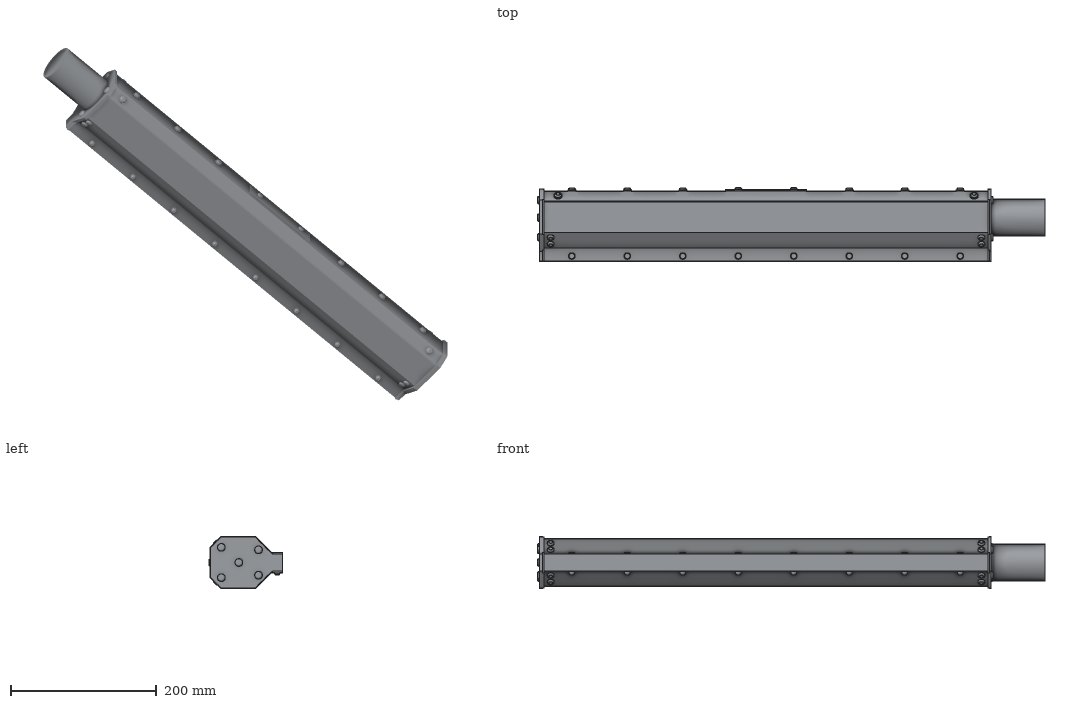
import cadquery as cq
import math

diagonal = math.sqrt(0.5)


housing_length = 609.6
housing_half_height = 32.7
nose_half_height = 11.5
nose_front_y = -60.25
nose_depth = 18.4
nose_root_y = nose_front_y + nose_depth
overall_depth = 101.53
bend_facet = 1.0

back_head = (9.5, 2.75)
slope_head = (9.5, 2.75)
bevel_head = (9.5, 2.75)
flange_head = (10.5, 2.75)
nose_head = (7.6, 1.2)
nose_nut = (7.6, 4.5)
dome_top_ratio = 0.55

wide_washer = (11.0, 1.6)
nose_washer = (9.0, 1.0)

strap_length = 111.0
strap_height = 22.0
strap_thickness = 2.0

back_y = nose_front_y + overall_depth - strap_thickness - back_head[1]
bevel_size = 14.1

overall_height = 71.16
cover_half_height = overall_height / 2
flange_overhang = cover_half_height - housing_half_height
sheet_thickness = 2.2
edge_setback = 0.3
slope_overhang = 3.5
left_cover_thickness = 4.2
right_cover_thickness = 2.2
left_face_x = -sheet_thickness - left_cover_thickness
right_face_x = housing_length + sheet_thickness + right_cover_thickness

overall_length = 697.12
spigot_diameter = 50.8
spigot_end_x = left_face_x - flange_head[1] + overall_length

row_count = 8
row_pitch = 76.2
row_first_x = (housing_length - (row_count - 1) * row_pitch) / 2
nose_screw_y = nose_front_y + 7.5

slope_screw_inset = 9.0
slope_screw_rises = (5.8, 14.8)
bevel_screw_inset = 19.0

cover_corner_screws = [(24.0, 20.8), (24.0, -20.8), (-27.0, 17.4), (-27.0, -17.4)]
cover_centre_screw = (0.0, 0.0)


def section(x, length, front, nose, top, back, slope_grow):
    """Slice of the housing outline with its 45 degree sides moved outward by slope_grow."""
    side_shift = slope_grow * math.sqrt(2)
    slope_line = nose_root_y - nose_half_height - side_shift
    bevel_line = back_y - bevel_size + housing_half_height + side_shift
    upper = [
        (front, nose),
        (slope_line + nose, nose),
        (slope_line + top, top),
        (bevel_line - top, top),
        (back, bevel_line - back),
    ]
    lower = [(y, -z) for y, z in reversed(upper)]
    profile = cq.Workplane("YZ").workplane(offset=x).polyline(upper + lower).close()
    return profile.extrude(length)


def disc(point, direction, size):
    diameter, height = size
    plane = cq.Plane(origin=point, normal=direction)
    return cq.Workplane(plane).circle(diameter / 2).extrude(height)


def dome(point, direction, size):
    """Button head: a round base curving in to a smaller flat top."""
    diameter, height = size
    base = diameter / 2
    top = base * dome_top_ratio
    middle = (top + (base - top) * diagonal, height * diagonal)
    axis = cq.Vector(*direction)
    across = axis.cross(cq.Vector(1, 0, 0))
    if across.Length == 0:
        across = cq.Vector(0, 1, 0)
    plane = cq.Plane(origin=point, xDir=across, normal=across.cross(axis))
    half = cq.Workplane(plane).lineTo(base, 0).threePointArc(middle, (top, height)).lineTo(0, height)
    return half.close().revolve(360, (0, 0), (0, 1))


def offset_point(point, direction, distance):
    return tuple(p + d * distance for p, d in zip(point, direction))


def washer_and_head(point, direction, washer, head):
    seat = offset_point(point, direction, washer[1])
    return disc(point, direction, washer).union(dome(seat, direction, head))


def housing():
    front = nose_front_y + edge_setback
    body = section(0, housing_length, front, nose_half_height, housing_half_height, back_y, 0)
    for side in (1, -1):
        corner = (housing_length / 2, back_y - bevel_size, side * housing_half_height)
        body = body.edges(cq.selectors.NearestToPointSelector(corner)).chamfer(bend_facet)
    return body


def sheet_flange(x):
    nose = nose_half_height + flange_overhang - edge_setback
    top = cover_half_height - edge_setback
    back = back_y + flange_overhang - edge_setback
    return section(x, sheet_thickness, nose_front_y, nose, top, back, slope_overhang)


def cover_plate(x, thickness):
    back = back_y + flange_overhang
    front = nose_front_y + edge_setback
    return section(x, thickness, front, nose_half_height, cover_half_height, back, slope_overhang)


def spigot():
    return disc((right_face_x, 0, 0), (1, 0, 0), (spigot_diameter, spigot_end_x - right_face_x))


def strap():
    centre = (housing_length / 2, back_y + strap_thickness / 2, 0)
    return cq.Workplane("XY").box(strap_length, strap_thickness, strap_height).translate(centre)


def nose_fasteners(x):
    above = (x, nose_screw_y, nose_half_height)
    below = (x, nose_screw_y, -nose_half_height)
    washer = disc(above, (0, 0, 1), nose_washer)
    head = disc(offset_point(above, (0, 0, 1), nose_washer[1]), (0, 0, 1), nose_head)
    nut = washer_and_head(below, (0, 0, -1), nose_washer, nose_nut)
    return washer.union(head).union(nut)


def back_screw(x):
    """Screw on the back; those within the strap sit on it, the others on a washer."""
    if abs(x - housing_length / 2) < strap_length / 2:
        return dome((x, back_y + strap_thickness, 0), (0, 1, 0), back_head)
    return washer_and_head((x, back_y, 0), (0, 1, 0), wide_washer, back_head)


def slope_screws(x, side):
    normal = (0, -diagonal, side * diagonal)
    screws = cq.Workplane("XY")
    for rise in slope_screw_rises:
        point = (x, nose_root_y + rise, side * (nose_half_height + rise))
        screws = screws.add(dome(point, normal, slope_head))
    return screws


def bevel_screw(x, side):
    normal = (0, diagonal, side * diagonal)
    point = (x, back_y - bevel_size / 2, side * (housing_half_height - bevel_size / 2))
    return washer_and_head(point, normal, wide_washer, bevel_head)


pieces = [
    sheet_flange(-sheet_thickness),
    cover_plate(left_face_x, left_cover_thickness),
    sheet_flange(housing_length),
    cover_plate(housing_length + sheet_thickness, right_cover_thickness),
    spigot(),
    strap(),
]

for index in range(row_count):
    row_x = row_first_x + index * row_pitch
    pieces.append(nose_fasteners(row_x))
    pieces.append(back_screw(row_x))

for side in (1, -1):
    for x in (slope_screw_inset, housing_length - slope_screw_inset):
        pieces.append(slope_screws(x, side))
    for x in (bevel_screw_inset, housing_length - bevel_screw_inset):
        pieces.append(bevel_screw(x, side))

for y, z in cover_corner_screws + [cover_centre_screw]:
    pieces.append(dome((left_face_x, y, z), (-1, 0, 0), flange_head))
for y, z in cover_corner_screws:
    pieces.append(dome((right_face_x, y, z), (1, 0, 0), flange_head))

result = housing()
for piece in pieces:
    for solid in piece.vals():
        result = result.union(cq.Workplane(solid))